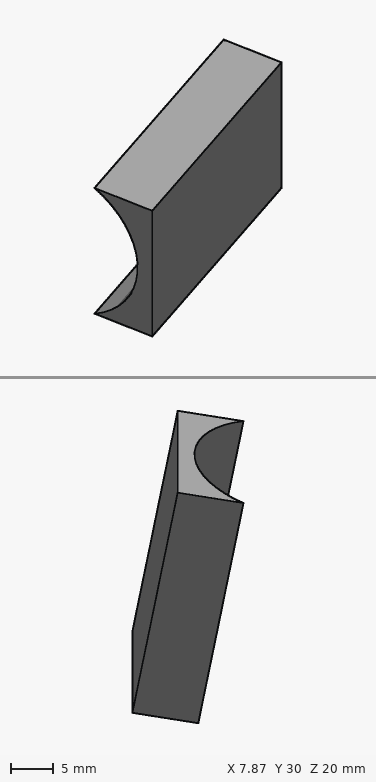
import cadquery as cq
import math

length = 30.0
height = 20.0
cradle_radius = 11.45
wall = 2.0

half_height = height / 2
edge_x = math.sqrt(cradle_radius**2 - half_height**2)
back_x = cradle_radius + wall

profile = (
    cq.Workplane("XZ")
    .moveTo(edge_x, -half_height)
    .lineTo(back_x, -half_height)
    .lineTo(back_x, half_height)
    .lineTo(edge_x, half_height)
    .threePointArc((cradle_radius, 0), (edge_x, -half_height))
    .close()
)

result = profile.extrude(length / 2, both=True)